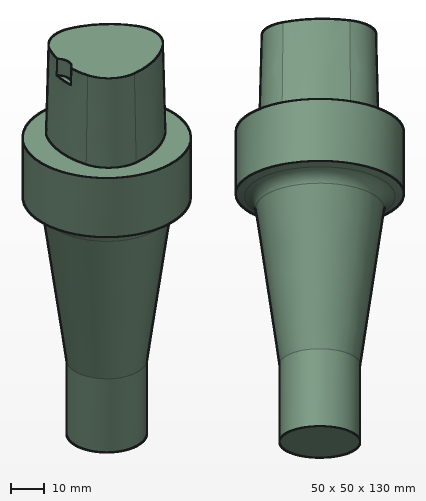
import cadquery as cq
import math

total_height = 130.0
shank_diameter = 24.0
shank_length = 25.0
flange_diameter = 50.0
flange_height = 20.0
taper_height = 29.9
flange_top = total_height - taper_height
flange_bottom = flange_top - flange_height

underside_diameter = 44.7
underside_drop = 0.8
neck_diameter = 38.2
neck_height = 3.9
neck_radius = 4.8
underside_bottom = flange_bottom - underside_drop
neck_bottom = underside_bottom - neck_height

lobe_count = 3
lobe_offset = 6.9
base_lobe_reach = 18.7
base_flat_reach = 16.4
taper_inset = taper_height / 40

notch_radius = 4.7
notch_depth = 2.0
notch_height = 5.6


def turned_body():
    """Shank, conical body, concave neck and flange as one revolution."""
    shank_radius = shank_diameter / 2
    neck_start = (neck_diameter / 2, neck_bottom)
    neck_end = (underside_diameter / 2, underside_bottom)
    flange_radius = flange_diameter / 2
    return (
        cq.Workplane("XZ")
        .lineTo(shank_radius, 0)
        .lineTo(shank_radius, shank_length)
        .lineTo(*neck_start)
        .radiusArc(neck_end, neck_radius)
        .lineTo(flange_radius, flange_bottom)
        .lineTo(flange_radius, flange_top)
        .lineTo(0, flange_top)
        .close()
        .revolve(360, (0, 0), (0, 1))
    )


def polar_point(center, radius, angle):
    """Point at a radius and angle (degrees) around a center."""
    turn = math.radians(angle)
    return (center[0] + radius * math.cos(turn), center[1] + radius * math.sin(turn))


def lobed_outline(workplane, inset):
    """Tangent lobe and flat arcs, offset inwards by the inset."""
    lobe_radius = base_lobe_reach - lobe_offset
    reach_gap = base_flat_reach - lobe_radius
    flat_offset = (lobe_offset**2 - reach_gap**2) / (2 * reach_gap - lobe_offset)
    flat_radius = flat_offset + base_flat_reach - inset
    lobe_radius -= inset
    half_pitch = 180 / lobe_count
    lobe_side = lobe_offset * math.sin(math.radians(half_pitch))
    lobe_ahead = lobe_offset * math.cos(math.radians(half_pitch)) + flat_offset
    half_sweep = math.degrees(math.atan2(lobe_side, lobe_ahead))

    for index in range(lobe_count):
        lobe_angle = 90 + index * 2 * half_pitch
        flat_angle = lobe_angle + half_pitch
        lobe_center = polar_point((0, 0), lobe_offset, lobe_angle)
        flat_center = polar_point((0, 0), -flat_offset, flat_angle)
        if index == 0:
            start_angle = lobe_angle - half_pitch + half_sweep
            workplane = workplane.moveTo(*polar_point(lobe_center, lobe_radius, start_angle))
        workplane = workplane.threePointArc(
            polar_point(lobe_center, lobe_radius, lobe_angle),
            polar_point(lobe_center, lobe_radius, flat_angle - half_sweep),
        ).threePointArc(
            polar_point(flat_center, flat_radius, flat_angle),
            polar_point(flat_center, flat_radius, flat_angle + half_sweep),
        )
    return workplane.close()


def lobed_taper():
    """Polygon shank narrowing evenly towards the top."""
    base = lobed_outline(cq.Workplane("XY").workplane(offset=flange_top), 0)
    top = lobed_outline(base.workplane(offset=taper_height), taper_inset)
    return top.loft(ruled=True, combine=True)


def orientation_notch():
    """Vertical cylinder that cuts the notch from the top edge."""
    top_flat_y = -(base_flat_reach - taper_inset)
    center_y = top_flat_y + notch_depth - notch_radius
    return (
        cq.Workplane("XY")
        .workplane(offset=total_height - notch_height)
        .center(0, center_y)
        .circle(notch_radius)
        .extrude(notch_height)
    )


result = turned_body().union(lobed_taper()).cut(orientation_notch())